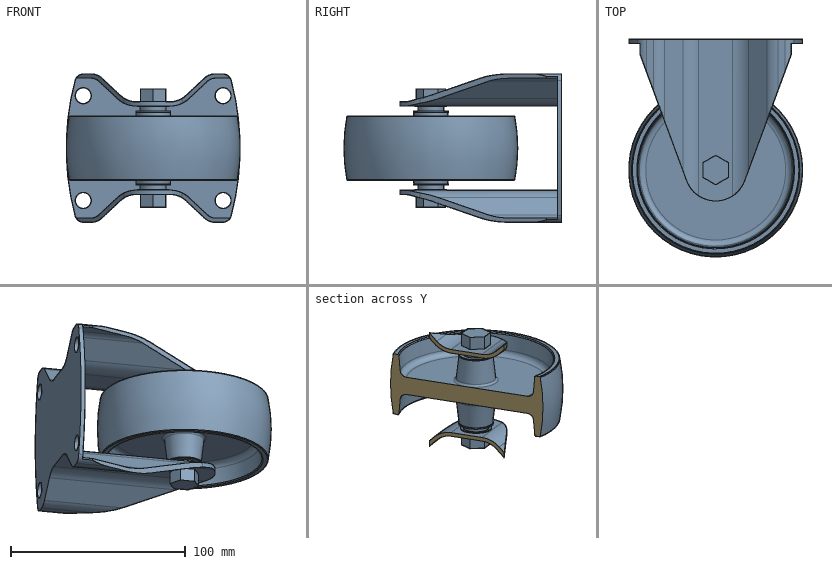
import cadquery as cq
import math


wheel_diameter = 99.7
wheel_radius = wheel_diameter / 2
wheel_half_width = 18.5
tread_edge_radius = 48.1
tread_chamfer = 0.5
rim_inner_radius = 44.5
rim_mouth_chamfer = 0.6
recess_bottom_radius = 43.4
recess_fillet = 3.6
web_half_thickness = 5.4

hub_end = 20.5
hub_base_radius = 11.5
hub_end_radius = 9.7
hub_fillet = 1.4
hub_washer_radius = 10.0
hub_washer_thickness = 0.7
spacer_diameter = 15.0
fork_washer_diameter = 18.0
fork_washer_thickness = 0.4
hex_across_flats = 14.6
hex_head_end = 33.9

sheet = 2.5
overall_length = 124.7
plate_back = overall_length - wheel_radius
plate_half_width = wheel_radius
plate_corner_half_width = 43.7
plate_corner_radius = 5.2
crest_height = 42.5
valley_height = 26.6
valley_flat_half_width = 9.7
valley_bend_radius = 13.2
crest_bend_radius = 9.0
crest_start = 35.5
fork_half_width = 43.4
fork_taper_start = 66.4
fork_tip_radius = 17.7

hole_diameter = 9.0
hole_spacing_x = 80.1
hole_spacing_z = 60.0


def point_on_circle(centre, radius, angle):
    return (centre[0] + radius * math.cos(angle), centre[1] + radius * math.sin(angle))


def mirrored(point):
    return (-point[0], point[1])


def disc(radius, start, end):
    return cq.Workplane("XY").workplane(offset=start).circle(radius).extrude(end - start)


def both_sides(shape):
    return shape.union(shape.mirror("XY"))


def extruded_from_plate(profile, depth):
    """Extrude an XZ profile from the back of the plate towards -Y."""
    return profile.extrude(depth).translate((0, plate_back, 0))


def area_below_fork_face(offset):
    """XZ profile between the mid plane and the fork face, offset inwards by a distance."""
    valley_centre = (valley_flat_half_width, valley_height + valley_bend_radius)
    crest_centre = (crest_start, crest_height - crest_bend_radius)
    run = crest_centre[0] - valley_centre[0]
    rise = crest_centre[1] - valley_centre[1]
    slope = math.atan2(rise, run) + math.asin(
        (valley_bend_radius + crest_bend_radius) / math.hypot(run, rise)
    )
    valley_radius = valley_bend_radius + offset
    crest_radius = crest_bend_radius - offset
    down = -math.pi / 2
    up = math.pi / 2

    flat_end = (valley_flat_half_width, valley_height - offset)
    valley_middle = point_on_circle(valley_centre, valley_radius, down + slope / 2)
    slope_start = point_on_circle(valley_centre, valley_radius, down + slope)
    slope_end = point_on_circle(crest_centre, crest_radius, up + slope)
    crest_middle = point_on_circle(crest_centre, crest_radius, up + slope / 2)
    crest_flat_start = (crest_start, crest_height - offset)
    crest_flat_end = (plate_half_width, crest_height - offset)

    return (
        cq.Workplane("XZ")
        .moveTo(-plate_half_width, 0)
        .lineTo(plate_half_width, 0)
        .lineTo(*crest_flat_end)
        .lineTo(*crest_flat_start)
        .threePointArc(crest_middle, slope_end)
        .lineTo(*slope_start)
        .threePointArc(valley_middle, flat_end)
        .lineTo(*mirrored(flat_end))
        .threePointArc(mirrored(valley_middle), mirrored(slope_start))
        .lineTo(*mirrored(slope_end))
        .threePointArc(mirrored(crest_middle), mirrored(crest_flat_start))
        .lineTo(*mirrored(crest_flat_end))
        .close()
    )


def plate_envelope(depth):
    """Block with bowed sides and rounded corners that trims the bracket."""
    corner = (plate_corner_half_width, crest_height)
    profile = (
        cq.Workplane("XZ")
        .moveTo(corner[0], -corner[1])
        .threePointArc((plate_half_width, 0), corner)
        .lineTo(*mirrored(corner))
        .threePointArc((-plate_half_width, 0), (-corner[0], -corner[1]))
        .close()
    )
    return extruded_from_plate(profile, depth).edges("|Y").fillet(plate_corner_radius)


def fork_taper():
    """Fork shape across the axle: straight at the plate, then tapering to a round tip."""
    taper_start = (fork_half_width, fork_taper_start)
    tangent_angle = math.atan2(fork_taper_start, fork_half_width) - math.acos(
        fork_tip_radius / math.hypot(*taper_start)
    )
    tip_start = point_on_circle((0, 0), fork_tip_radius, tangent_angle)
    return (
        cq.Workplane("XY")
        .moveTo(-fork_half_width, plate_back)
        .lineTo(fork_half_width, plate_back)
        .lineTo(*taper_start)
        .lineTo(*tip_start)
        .threePointArc((0, -fork_tip_radius), mirrored(tip_start))
        .lineTo(*mirrored(taper_start))
        .close()
        .extrude(crest_height, both=True)
    )


def make_bracket():
    depth = plate_back + fork_tip_radius
    envelope = plate_envelope(depth)
    below_outer_face = extruded_from_plate(area_below_fork_face(0), depth)
    below_inner_face = extruded_from_plate(area_below_fork_face(sheet), depth)
    fork = both_sides(below_outer_face.cut(below_inner_face)).intersect(fork_taper())
    plate = both_sides(extruded_from_plate(area_below_fork_face(0), sheet))
    holes = extruded_from_plate(
        cq.Workplane("XZ").rarray(hole_spacing_x, hole_spacing_z, 2, 2).circle(hole_diameter / 2),
        sheet,
    )
    return plate.cut(holes).union(fork).intersect(envelope)


def make_wheel():
    tread_edge_height = wheel_half_width - tread_chamfer
    mouth_radius = rim_inner_radius + rim_mouth_chamfer
    body = (
        cq.Workplane("XZ")
        .moveTo(0, -wheel_half_width)
        .lineTo(tread_edge_radius - tread_chamfer, -wheel_half_width)
        .lineTo(tread_edge_radius, -tread_edge_height)
        .threePointArc((wheel_radius, 0), (tread_edge_radius, tread_edge_height))
        .lineTo(tread_edge_radius - tread_chamfer, wheel_half_width)
        .lineTo(0, wheel_half_width)
        .close()
        .revolve(360, (0, 0, 0), (0, 1, 0))
    )
    recess = (
        cq.Workplane("XZ")
        .moveTo(0, web_half_thickness)
        .lineTo(recess_bottom_radius, web_half_thickness)
        .lineTo(rim_inner_radius, wheel_half_width - rim_mouth_chamfer)
        .lineTo(mouth_radius, wheel_half_width)
        .lineTo(0, wheel_half_width)
        .close()
        .revolve(360, (0, 0, 0), (0, 1, 0))
        .faces("<Z")
        .edges()
        .fillet(recess_fillet)
    )
    hub = (
        cq.Workplane("XZ")
        .lineTo(hub_base_radius, 0)
        .lineTo(hub_base_radius, web_half_thickness)
        .lineTo(hub_end_radius, hub_end)
        .lineTo(0, hub_end)
        .close()
        .revolve(360, (0, 0, 0), (0, 1, 0))
    )
    wheel = body.cut(both_sides(recess)).union(both_sides(hub))
    for side in (1, -1):
        web_face = side * web_half_thickness
        reach = hub_base_radius + hub_fillet
        hub_base_edge = cq.selectors.BoxSelector(
            (-reach, -reach, web_face - hub_fillet),
            (reach, reach, web_face + hub_fillet),
        )
        wheel = wheel.edges("%CIRCLE").edges(hub_base_edge).fillet(hub_fillet)
    return wheel


def make_axle_parts():
    fork_inner_face = valley_height - sheet
    hex_across_corners = hex_across_flats / math.cos(math.pi / 6)
    hub_washer = disc(hub_washer_radius, hub_end, hub_end + hub_washer_thickness)
    spacer = disc(spacer_diameter / 2, hub_end, fork_inner_face)
    fork_washer = disc(fork_washer_diameter / 2, fork_inner_face - fork_washer_thickness, fork_inner_face)
    hex_head = (
        cq.Workplane("XY")
        .workplane(offset=valley_height)
        .transformed(rotate=(0, 0, 90))
        .polygon(6, hex_across_corners)
        .extrude(hex_head_end - valley_height)
    )
    return both_sides(hub_washer.union(spacer).union(fork_washer).union(hex_head))


result = make_wheel().union(make_axle_parts()).union(make_bracket())